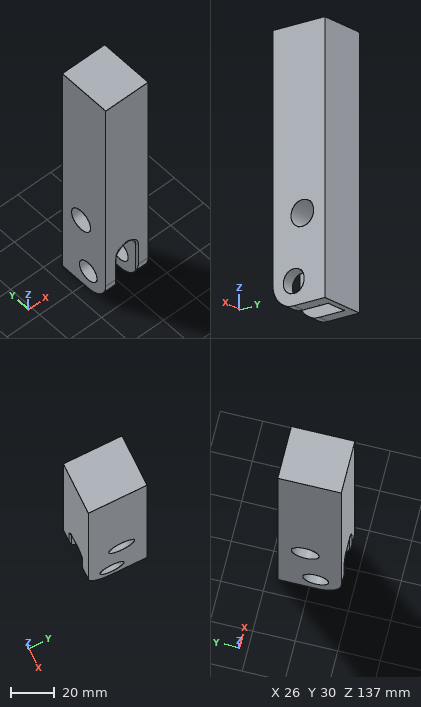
import cadquery as cq

width = 26.0
depth = 30.0
height = 137.0
front_y = -depth / 2

fork_radius = 12.0
pin_diameter = 12.0

cross_diameter = 13.0
cross_setback = 17.0
cross_height = 44.1

slot_width = 12.0
slot_top = 32.5
slot_depth = 26.6
slot_chamfer = 0.89


def cross_hole(diameter, setback, center_z):
    """Cylinder along X through the whole bar, set back from the front face."""
    return (
        cq.Workplane("YZ", origin=(-width / 2, 0, 0))
        .center(front_y + setback, center_z)
        .circle(diameter / 2)
        .extrude(width)
    )


def slot_outline(half_width):
    """Round-topped slot profile on the front face, open at the bottom."""
    arc_z = slot_top - slot_width / 2
    return (
        cq.Workplane("XZ", origin=(0, front_y, 0))
        .moveTo(-half_width, 0)
        .lineTo(-half_width, arc_z)
        .threePointArc((0, arc_z + half_width), (half_width, arc_z))
        .lineTo(half_width, 0)
        .close()
    )


def slot_cutter():
    """Slot with a 45 degree chamfer around its mouth."""
    slot = slot_outline(slot_width / 2).extrude(-slot_depth)
    mouth = slot_outline(slot_width / 2 + slot_chamfer).extrude(-slot_chamfer, taper=45)
    return slot.union(mouth)


bar = cq.Workplane("XY").box(width, depth, height, centered=(True, True, False))
bar = bar.edges("<Y and <Z").fillet(fork_radius)
bar = bar.cut(cross_hole(pin_diameter, fork_radius, fork_radius))
bar = bar.cut(cross_hole(cross_diameter, cross_setback, cross_height))
result = bar.cut(slot_cutter())